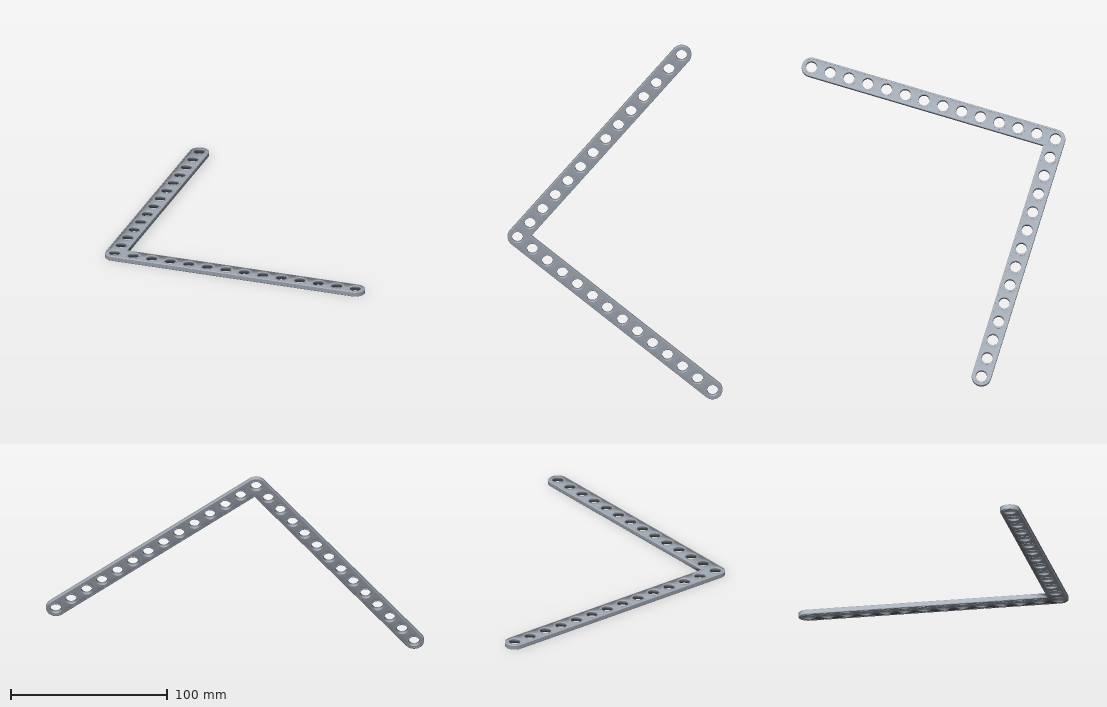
import cadquery as cq

arm_length = 175.0
holes_per_arm = 14
thickness = 3.2
hole_diameter = 7.0
rim_width = 1.1
recess_depth = 0.21
edge_chamfer = 0.32

pitch = arm_length / holes_per_arm
hole_span = arm_length - pitch
ring_diameter = hole_diameter + 2 * rim_width


def l_plate(width, height):
    """L-shaped plate of two round-ended arms that share the corner hole at the origin."""
    length = hole_span + width
    along_x = cq.Workplane("XY").center(hole_span / 2, 0).slot2D(length, width).extrude(height)
    along_y = cq.Workplane("XY").center(0, hole_span / 2).slot2D(length, width, 90).extrude(height)
    return along_x.union(along_y).clean()


def cylinders(diameter, height):
    """One cylinder at every hole position."""
    return cq.Workplane("XY").pushPoints(hole_centres).circle(diameter / 2).extrude(height)


hole_centres = [(0, 0)]
for index in range(1, holes_per_arm):
    hole_centres.append((index * pitch, 0))
    hole_centres.append((0, index * pitch))

plate = l_plate(pitch, thickness).cut(cylinders(hole_diameter, thickness))
plate = plate.faces("<Z or >Z").edges().chamfer(edge_chamfer)

recess = l_plate(pitch - 2 * rim_width, recess_depth).cut(cylinders(ring_diameter, recess_depth))
plate = plate.cut(recess)
plate = plate.cut(recess.translate((0, 0, thickness - recess_depth)))

centre_offset = -hole_span / 2
result = plate.translate((centre_offset, centre_offset, -thickness / 2))